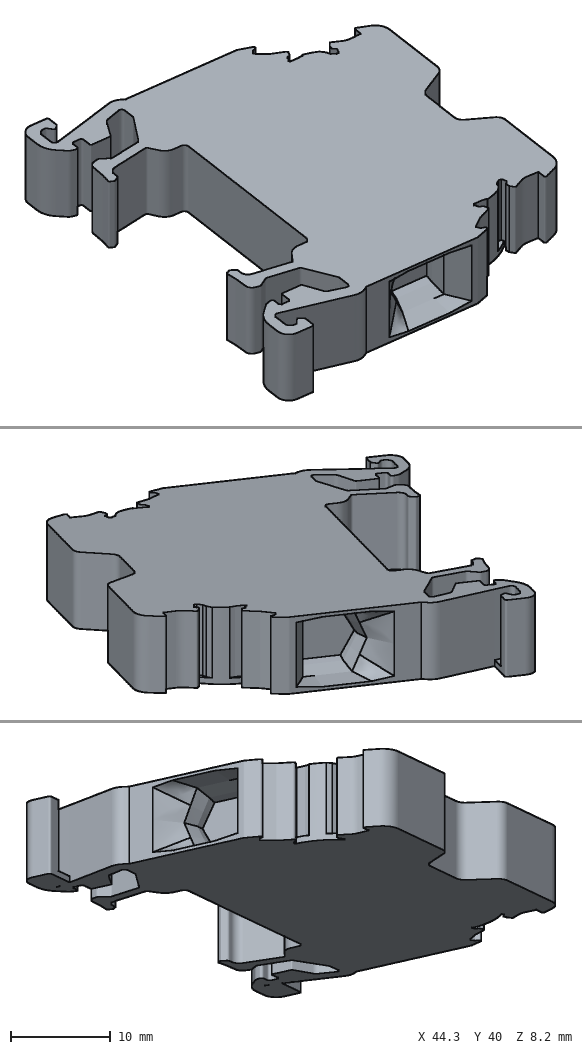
import cadquery as cq
import math

half_width = 22.15
height = 40.0
thickness = 8.2
mid_z = thickness / 2
skin = 0.65

body_half_width = 20.05
crown_floor = 36.15
seat_height = 11.9
hook_top = 3.55

recess_top = (13.85, 33.65)
recess_middle = (15.05, 31.7)
recess_bottom = (15.6, 28.8)

CROWN = [
    (0, crown_floor, 0),
    (2.9, crown_floor, 1.1),
    (5.0, height, 1.1),
    (14.8, height, 1.85),
    (15.95, 37.25, 0.18),
    (14.75, 37.25, 0),
    (14.7, 35.4, 1.77),
    (15.45, 33.85, 0.15),
    (14.95, 33.45, 0),
    (14.5, 33.4, 0.1),
    (14.15, 33.8, 0.1),
    (*recess_top, 0),
]
SHOULDER = [
    (*recess_bottom, 0),
    (15.95, 28.9, 0.15),
    (16.15, 29.35, 0.15),
    (16.75, 29.6, 0.2),
    (17.5, 27.9, 0.35),
    (18.5, 26.55, 0.15),
    (18.97, 26.85, 0.05),
    (19.15, 27.4, 0.15),
    (19.45, 27.3, 0.15),
    (body_half_width, 25.65, 0.35),
    (body_half_width, 11.7, 0),
]
FOOT = [
    (20.65, 10.6, 1.77),
    (18.75, hook_top, 0),
    (18.18, 1.35, 0.45),
    (20.8, 1.35, 0.7),
    (20.92, 2.3, 0.3),
    (20.13, 2.93, 0.15),
    (20.65, hook_top, 0),
    (half_width, hook_top, 0.2),
    (half_width, 0, 1.4),
    (18.15, 0, 2.65),
    (16.35, 1.9, 0.7),
    (16.1, 2.9, 0.25),
    (17.35, 2.9, 0.25),
    (17.35, 4.15, 0.25),
    (15.85, 4.15, 0.15),
    (15.85, 6.7, 0.15),
    (18.25, 7.95, 0.7),
    (19.05, 10.45, 0.35),
    (17.1, 10.45, 0.35),
]
LEG = [
    (13.48, 8.4, 0.35),
    (12.8, 4.5, 0.35),
    (13.55, 3.32, 0.4),
    (13.25, 2.15, 0.8),
    (11.1, 2.05, 0),
    (9.8, 1.85, 0.18),
    (9.55, 2.45, 0.18),
    (9.95, 3.1, 0.25),
    (11.25, 3.1, 0.9),
    (12.2, 8.4, 0.25),
    (10.35, 9.58, 1.6),
    (10.35, seat_height, 0.55),
    (0, seat_height, 0),
]

UPPER_SLOT = [recess_top, (13.5, 33.55), (13.5, 33.25), (13.85, 32.75), (14.35, 32.55), (14.9, 32.05), (15.07, 32.75)]
LOWER_SLOT = [(15.35, 30.4), (15.25, 29.8), (15.25, 28.75), (15.43, 28.65), recess_bottom, (15.65, 30.4)]

HOOK_FLOOR = [(18.6, hook_top), (18.18, 0.9), (21.3, 0.9), (21.3, hook_top)]

throat_depth = 2.55
socket_depth = 4.15
entry_depth = 5.1
entry_mouth_half = mid_z - skin
entry_bulge_half = 3.72
bulge_top = 22.15
MOUTH = [
    (24.9, entry_mouth_half),
    (bulge_top, entry_bulge_half),
    (17.0, entry_bulge_half),
    (14.6, entry_mouth_half),
    (14.6, 0),
]


def pentagon(top, shoulder, point, half):
    """Half pentagon with extra points to pair with those of the mouth."""
    slant_middle = ((shoulder + point) / 2, half / 2)
    return [(top, half), (bulge_top, half), (shoulder, half), slant_middle, (point, 0)]


THROAT = pentagon(23.35, 18.18, 16.62, 3.4)
SOCKET = pentagon(23.1, 18.57, 17.1, 2.75)
SOCKET_END = pentagon(23.1, 18.57, 17.1, 2.5)


def unit_toward(start, end):
    length = math.dist(start, end)
    return (end[0] - start[0]) / length, (end[1] - start[1]) / length


def trace(sketch, corners, previous, following):
    """Draw straight runs through the corners, rounding each one by its radius."""
    path = [previous, *corners, following]
    for before, (x, y, radius), after in zip(path, path[1:], path[2:]):
        if radius == 0:
            sketch = sketch.lineTo(x, y)
            continue
        back = unit_toward((x, y), before[:2])
        ahead = unit_toward((x, y), after[:2])
        half_angle = math.acos(back[0] * ahead[0] + back[1] * ahead[1]) / 2
        setback = radius / math.tan(half_angle)
        bisector = unit_toward((0, 0), (back[0] + ahead[0], back[1] + ahead[1]))
        reach = radius / math.sin(half_angle) - radius
        sketch = sketch.lineTo(x + back[0] * setback, y + back[1] * setback)
        sketch = sketch.threePointArc(
            (x + bisector[0] * reach, y + bisector[1] * reach),
            (x + ahead[0] * setback, y + ahead[1] * setback),
        )
    return sketch


def half_profile():
    start = CROWN[0]
    lower = SHOULDER[1:] + FOOT + LEG
    sketch = cq.Workplane("XY").moveTo(*start[:2])
    sketch = trace(sketch, CROWN[1:], start, SHOULDER[0])
    sketch = sketch.threePointArc(recess_middle, recess_bottom)
    sketch = trace(sketch, lower, SHOULDER[0], start)
    return sketch.close().extrude(thickness)


def slot(points):
    return cq.Workplane("XY").workplane(offset=skin).polyline(points).close().extrude(thickness)


def entry_section(half_section, depth):
    x = body_half_width - depth
    upper = [cq.Vector(x, y, mid_z + z) for y, z in half_section]
    lower = [cq.Vector(x, y, mid_z - z) for y, z in reversed(half_section[:-1])]
    return cq.Wire.makePolygon(upper + lower, close=True)


def wire_entry():
    stages = [
        entry_section(MOUTH, 0),
        entry_section(THROAT, throat_depth),
        entry_section(SOCKET, socket_depth),
        entry_section(SOCKET_END, entry_depth),
    ]
    return cq.Solid.makeLoft(stages, True)


half = half_profile()
half = half.union(cq.Workplane("XY").polyline(HOOK_FLOOR).close().extrude(skin))
half = half.cut(slot(UPPER_SLOT)).cut(slot(LOWER_SLOT))
half = half.cut(cq.Workplane(obj=wire_entry()))

result = half.union(half.mirror("YZ"))